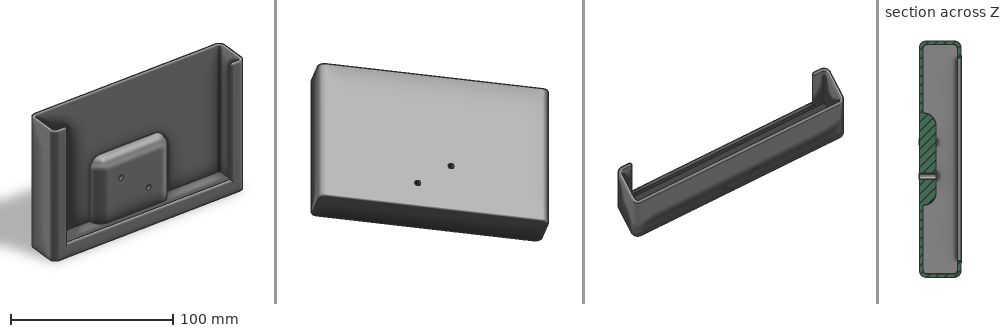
import cadquery as cq

depth = 26.0
width = 146.0
height = 95.0

wall = 2.5
corner_radius = 4.5
rim_round = 1.23

window_width = 125.0
sill_height = (width - window_width) / 2

hole_diameter = 3.7
hole_spacing_y = 21.0
hole_spacing_z = 14.8
hole_mid_height = 24.2

pad_width = 57.0
pad_thickness = 8.0
pad_height = 2 * hole_mid_height

inner_wall_x = wall - depth / 2


def upright_block(size_x, size_y, bottom, radius):
    """Block with rounded vertical corners, from the given level up to the rim."""
    return (
        cq.Workplane("XY")
        .workplane(offset=bottom)
        .rect(size_x, size_y)
        .extrude(height - bottom)
        .edges("|Z")
        .fillet(radius)
    )


def make_tray():
    """Open-topped tray with a windowed +X wall and rounded free edges."""
    outer = upright_block(depth, width, 0, corner_radius)
    cavity = upright_block(depth - 2 * wall, width - 2 * wall, wall, corner_radius - wall)
    window = (
        cq.Workplane("XY")
        .box(2 * wall, window_width, height, centered=(True, True, False))
        .translate((depth / 2, 0, sill_height))
    )
    tray = outer.cut(cavity).cut(window)

    mid_wall_x = (depth - wall) / 2
    slack = wall / 10
    window_faces = cq.selectors.BoxSelector(
        (mid_wall_x - slack, -window_width / 2 - slack, sill_height - slack),
        (mid_wall_x + slack, window_width / 2 + slack, height),
    )
    window_edges = tray.faces(window_faces).edges("not |X")
    rim_edges = tray.faces(">Z or <Z").edges()
    return rim_edges.add(window_edges).fillet(rim_round)


def make_pad():
    """Pad on the -X wall, rounded over its full thickness on all free edges."""
    root = wall / 2
    return (
        cq.Workplane("XY")
        .box(root + pad_thickness, pad_width, pad_height - root, centered=(False, True, False))
        .edges("(>X and (not <Z)) or (|X and >Z)")
        .fillet(pad_thickness)
        .translate((inner_wall_x - root, 0, root))
    )


def make_screw_holes():
    """Two drills on a diagonal about the pad's middle, through wall and pad."""
    return (
        cq.Workplane("YZ", origin=(-depth / 2, 0, hole_mid_height))
        .pushPoints([
            (-hole_spacing_y / 2, hole_spacing_z / 2),
            (hole_spacing_y / 2, -hole_spacing_z / 2),
        ])
        .circle(hole_diameter / 2)
        .extrude(wall + pad_thickness)
    )



part = make_tray().union(make_pad()).cut(make_screw_holes())
result = part.solids()